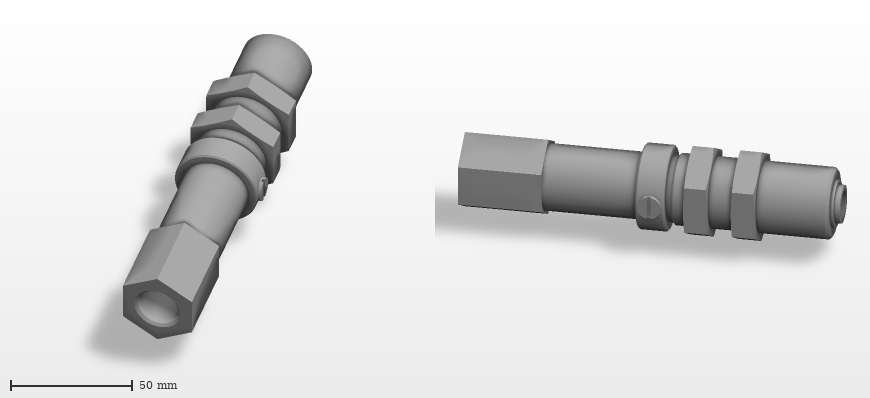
import cadquery as cq
import math

total_length = 159.0
hex_end_length = 35.0
collar_front = 74.9
collar_length = 12.1
collar_rear = collar_front + collar_length
thread_front = 89.0
thread_rear = 155.3
step_rear = 156.6

hex_end_flats = 30.0
barrel_diameter = 28.0
collar_diameter = 36.0
collar_chamfer = 0.6
neck_diameter = 27.5
thread_diameter = 30.0
thread_chamfer = 1.1
step_diameter = 20.0
tip_diameter = 16.0

socket_diameter = 17.8
socket_mouth_diameter = 20.0
socket_depth = 25.5
socket_cone_angle = 118.0
passage_diameter = 11.5

screw_diameter = 10.0
screw_projection = 1.1
screw_root_depth = 2.4
screw_slot_width = 1.6

nut_flats = 36.0
nut_length = 10.0
nut_front_stations = (95.1, 115.1)
nut_chamfer_radial = 0.3
nut_chamfer_angle = 10.0


def hexagonal_prism(across_flats, front, length):
    """Hexagonal prism along +Y with corners up and down, flats facing X."""
    corner_diameter = across_flats / math.cos(math.radians(30))
    return (
        cq.Workplane("XZ", origin=(0, front, 0))
        .transformed(rotate=(0, 0, 90))
        .polygon(6, corner_diameter)
        .extrude(-length)
    )


def cylinder(diameter, front, rear):
    """Solid cylinder on the Y axis between two stations."""
    return cq.Workplane("XZ", origin=(0, front, 0)).circle(diameter / 2).extrude(front - rear)


def revolved(profile):
    """Solid of revolution about Y from (radius, station) points."""
    return cq.Workplane("XY").polyline(profile).close().revolve(360, (0, 0, 0), (0, 1, 0))


def make_bore():
    socket_radius = socket_diameter / 2
    mouth_radius = socket_mouth_diameter / 2
    passage_radius = passage_diameter / 2
    mouth_chamfer = mouth_radius - socket_radius
    cone_length = (socket_radius - passage_radius) / math.tan(math.radians(socket_cone_angle / 2))
    return revolved([
        (0, 0),
        (mouth_radius, 0),
        (socket_radius, mouth_chamfer),
        (socket_radius, socket_depth),
        (passage_radius, socket_depth + cone_length),
        (passage_radius, total_length),
        (0, total_length),
    ])


def make_screw_head():
    collar_radius = collar_diameter / 2
    collar_middle = (collar_front + collar_rear) / 2
    root = collar_radius - screw_root_depth
    head = (
        cq.Workplane("YZ", origin=(root, collar_middle, 0))
        .circle(screw_diameter / 2)
        .extrude(screw_root_depth + screw_projection)
    )
    slot = (
        cq.Workplane("YZ", origin=(collar_radius, collar_middle, 0))
        .rect(screw_slot_width, screw_diameter)
        .extrude(screw_projection)
    )
    return head.cut(slot)


def make_housing():
    collar = cylinder(collar_diameter, collar_front, collar_rear).edges().chamfer(collar_chamfer)
    thread = cylinder(thread_diameter, thread_front, thread_rear).edges().chamfer(thread_chamfer)
    return (
        hexagonal_prism(hex_end_flats, 0, hex_end_length)
        .union(cylinder(barrel_diameter, hex_end_length, collar_front))
        .union(collar)
        .union(cylinder(neck_diameter, collar_rear, thread_front))
        .union(thread)
        .union(cylinder(step_diameter, thread_rear, step_rear))
        .union(cylinder(tip_diameter, step_rear, total_length))
        .union(make_screw_head())
        .cut(make_bore())
    )


def make_nut(front):
    """Hexagonal nut whose corners are turned off by a shallow cone at both ends."""
    rear = front + nut_length
    face_radius = nut_flats / 2 - nut_chamfer_radial
    corner_radius = nut_flats / 2 / math.cos(math.radians(30))
    chamfer_length = (corner_radius - face_radius) * math.tan(math.radians(nut_chamfer_angle))
    turned_blank = revolved([
        (0, front),
        (face_radius, front),
        (corner_radius, front + chamfer_length),
        (corner_radius, rear - chamfer_length),
        (face_radius, rear),
        (0, rear),
    ])
    hole = cylinder(thread_diameter, front, rear)
    return hexagonal_prism(nut_flats, front, nut_length).intersect(turned_blank).cut(hole)


housing = make_housing()
nuts = [make_nut(front) for front in nut_front_stations]

result = cq.Compound.makeCompound([housing.val(), *[nut.val() for nut in nuts]])